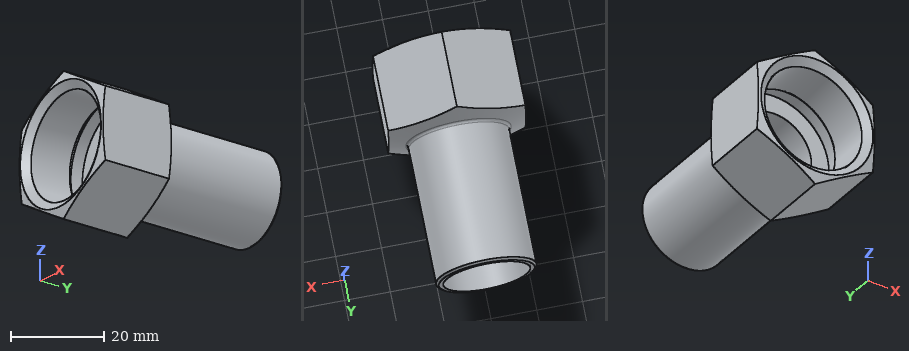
import cadquery as cq
import math

total_length = 51.25
across_flats = 30.0
tube_diameter = 22.0
through_diameter = 19.0

corner_radius = across_flats / math.sqrt(3)
bevel_angle = math.radians(15)
front_rim_diameter = 28.9
hex_back = 17.8
neck_fillet = 0.65
tube_chamfer = 0.5

socket_diameter = 25.1
countersink_depth = 1.45
relief_diameter = 28.0
relief_start = 11.75
socket_depth = 16.25

front_y = -total_length / 2
back_y = total_length / 2


def revolve_about_y(points):
    """Revolve a closed (radius, distance from front face) outline about Y."""
    profile = cq.Workplane("XY").polyline([(radius, front_y + depth) for radius, depth in points])
    return profile.close().revolve(360, (0, 0, 0), (0, 1, 0))


def make_outer_body():
    """Hexagon trimmed by a cone at each end, joined to the round tube."""
    slope = math.tan(bevel_angle)
    tube_radius = tube_diameter / 2
    rim_radius = front_rim_diameter / 2
    front_bevel = (corner_radius - rim_radius) * slope
    neck = hex_back + (corner_radius - tube_radius) * slope

    hexagon = (
        cq.Workplane("XZ", origin=(0, front_y, 0))
        .polygon(6, 2 * corner_radius)
        .extrude(-neck)
        .rotate((0, 0, 0), (0, 1, 0), 30)
    )
    bevel_envelope = revolve_about_y([
        (0, 0),
        (rim_radius, 0),
        (corner_radius, front_bevel),
        (corner_radius, hex_back),
        (tube_radius, neck),
        (0, neck),
    ])
    tube = cq.Workplane("XZ", origin=(0, back_y, 0)).circle(tube_radius).extrude(total_length - neck)
    tube = tube.faces(">Y").chamfer(tube_chamfer)

    body = hexagon.intersect(bevel_envelope).union(tube)
    neck_y = front_y + neck
    neck_edge = cq.selectors.BoxSelector(
        (-tube_radius, neck_y - neck_fillet, -tube_radius),
        (tube_radius, neck_y + neck_fillet, tube_radius),
    )
    return body.edges("%CIRCLE").edges(neck_edge).fillet(neck_fillet)


def make_bore():
    """Countersunk socket with a tapered relief groove, then the through hole."""
    socket_radius = socket_diameter / 2
    relief_radius = relief_diameter / 2
    through_radius = through_diameter / 2
    return revolve_about_y([
        (0, 0),
        (front_rim_diameter / 2, 0),
        (socket_radius, countersink_depth),
        (socket_radius, relief_start),
        (relief_radius, relief_start + relief_radius - socket_radius),
        (relief_radius, socket_depth),
        (through_radius, socket_depth),
        (through_radius, total_length),
        (0, total_length),
    ])


result = make_outer_body().cut(make_bore())